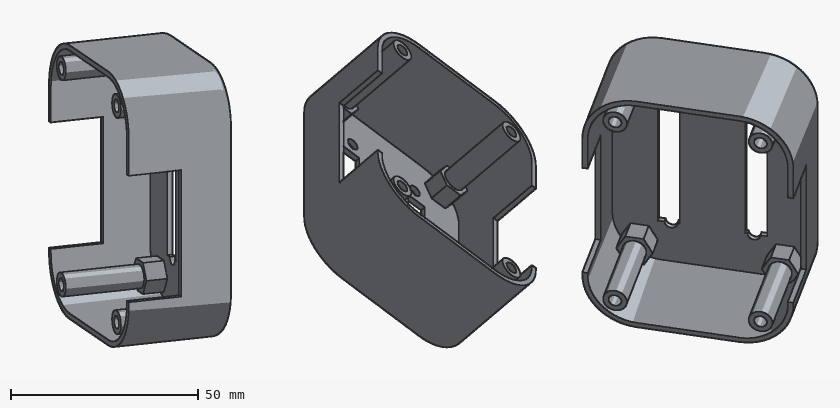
import cadquery as cq

width = 58.0
depth = 30.0
height = 76.0
corner_radius = 15.0
back_edge_radius = 2.0
wall = 1.5

post_x = 20.0
post_z = 30.0
post_diameter = 6.5
post_bore = 3.5
hex_across_corners = 10.0
hex_height = 6.0

slot_x = 12.0
slot_width = 6.0
slot_top = 19.5
slot_hole_x = 11.4
slot_hole_z = 23.5
slot_hole_diameter = 3.5
slot_bottom = -slot_hole_z

notch_depth = 15.0
notch_top = 13.0
notch_bottom = -22.1

rim_y = -depth / 2
back_y = depth / 2
floor_y = back_y - wall

post_centers = [(x, z) for x in (-post_x, post_x) for z in (-post_z, post_z)]
slot_hole_centers = [(x, z) for x in (-slot_hole_x, slot_hole_x) for z in (-slot_hole_z, slot_hole_z)]


def plane_at(y):
    """Sketch plane at a given y: local x is +X, local y is +Z, extrusions run toward -Y."""
    return cq.Workplane("XZ", origin=(0, y, 0))


def rounded_block(inset, start_y):
    """Block from start_y to the rim, inset evenly from the outer outline."""
    return (
        plane_at(start_y)
        .rect(width - 2 * inset, height - 2 * inset)
        .extrude(start_y - rim_y)
        .edges("|Y")
        .fillet(corner_radius - inset)
    )


def make_shell():
    outer = rounded_block(0, back_y).faces(">Y").edges().fillet(back_edge_radius)
    return outer.cut(rounded_block(wall, floor_y))


def make_side_notch():
    notch_height = notch_top - notch_bottom
    return (
        plane_at(rim_y + notch_depth)
        .center(0, (notch_top + notch_bottom) / 2)
        .rect(width, notch_height)
        .extrude(notch_depth)
    )


def make_posts():
    bases = plane_at(floor_y).pushPoints(post_centers).polygon(6, hex_across_corners).extrude(hex_height)
    tubes = plane_at(floor_y).pushPoints(post_centers).circle(post_diameter / 2).extrude(floor_y - rim_y)
    return bases.union(tubes)


def make_round_holes(centers, diameter):
    return plane_at(back_y).pushPoints(centers).circle(diameter / 2).extrude(depth)


def make_slots():
    slot_centers = [(x, (slot_top + slot_bottom) / 2) for x in (-slot_x, slot_x)]
    return plane_at(back_y).pushPoints(slot_centers).rect(slot_width, slot_top - slot_bottom).extrude(wall)


result = (
    make_shell()
    .cut(make_side_notch())
    .union(make_posts())
    .cut(make_round_holes(post_centers, post_bore))
    .cut(make_round_holes(slot_hole_centers, slot_hole_diameter))
    .cut(make_slots())
)